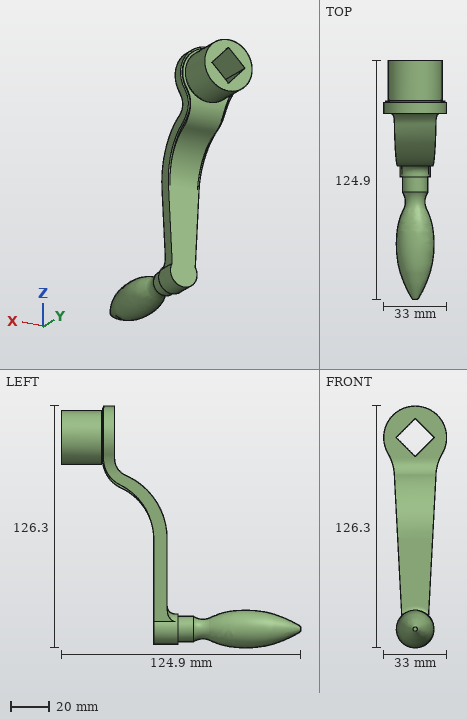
import cadquery as cq
import math


hub_radius = 16.49
rim_thickness = 5.8
core_thickness = 6.5
core_inset = 1.0
boss_radius = 14.1
boss_back = 27.8
boss_front = 6.8
boss_neck_radius = 13.4
square_half_diagonal = 9.9

waist_half_width = 10.9
flank_radius = 24.3
arm_end_half_width = 6.7
arm_thickness = 7.1
arm_front = -27.4
bend_start = -11.0
hub_bend_radius = 9.5
arm_bend_radius = 36.3
rim_back_bend_radius = 31.5
core_back_bend_radius = 29.2

grip_max_radius = 9.92
grip_z = hub_radius + grip_max_radius - 126.3
end_radius = 8.0
end_front = -33.1
end_fillet = 4.0
collar_radius = 6.7
collar_front = -41.0
throat_radius = 5.2
throat_y = -45.9
throat_front = -49.4
throat_front_radius = 5.8
belly = [(-57.1, 8.7), (-68.2, grip_max_radius), (-78.0, 9.1), (-88.5, 5.8), (-96.3, 1.9)]
tip_y = -97.1
tip_flat_radius = 1.1


def cylinder(radius, back, front, z=0.0):
    """Cylinder along Y between two Y positions."""
    plane = cq.Workplane("XZ", origin=(0, back, z))
    return plane.circle(radius).extrude(back - front)


def arm_outline(inset):
    """Hub and tapering arm seen along Y, shrunk inward by inset, as a long prism."""
    hub = hub_radius - inset
    waist = waist_half_width - inset
    end = arm_end_half_width - inset
    flank = flank_radius + inset
    reach = hub + flank
    flank_x = waist + flank
    flank_z = -math.sqrt(reach**2 - flank_x**2)
    touch_x = flank_x * hub / reach
    touch_z = flank_z * hub / reach
    middle_angle = math.atan2(-flank_z, flank_x) / 2
    middle_x = flank_x - flank * math.cos(middle_angle)
    middle_z = flank_z + flank * math.sin(middle_angle)
    return (
        cq.Workplane("XZ", origin=(0, boss_back, 0))
        .moveTo(-touch_x, touch_z)
        .threePointArc((0, hub), (touch_x, touch_z))
        .threePointArc((middle_x, middle_z), (waist, flank_z))
        .lineTo(end, grip_z)
        .lineTo(-end, grip_z)
        .lineTo(-waist, flank_z)
        .threePointArc((-middle_x, middle_z), (-touch_x, touch_z))
        .close()
        .extrude(boss_back - tip_y)
    )


arm_back = arm_front + arm_thickness
bend_sum = hub_bend_radius + arm_bend_radius
bend_angle = math.acos(1 + arm_front / bend_sum)
bend_end = bend_start - bend_sum * math.sin(bend_angle)


def s_bend(top_y, bottom_y, lower_radius):
    """Middle of upper arc, junction and middle of lower arc of an S-bend that is vertical at both ends."""
    drop = bend_start - bend_end
    angle = 2 * math.atan2(top_y - bottom_y, drop)
    upper_radius = drop / math.sin(angle) - lower_radius

    def upper(turn):
        y = top_y - upper_radius * (1 - math.cos(turn))
        return (y, bend_start - upper_radius * math.sin(turn))

    def lower(turn):
        y = bottom_y + lower_radius * (1 - math.cos(turn))
        return (y, bend_end + lower_radius * math.sin(turn))

    return upper(angle / 2), upper(angle), lower(angle / 2)


def arm_profile(hub_thickness, back_bend_radius):
    """Cranked strip seen along X, with a given hub thickness and radius behind the arm bend."""
    front_upper, front_joint, front_lower = s_bend(0, arm_front, arm_bend_radius)
    back_upper, back_joint, back_lower = s_bend(hub_thickness, arm_back, back_bend_radius)
    return (
        cq.Workplane("YZ")
        .moveTo(0, hub_radius)
        .lineTo(0, bend_start)
        .threePointArc(front_upper, front_joint)
        .threePointArc(front_lower, (arm_front, bend_end))
        .lineTo(arm_front, grip_z)
        .lineTo(arm_back, grip_z)
        .lineTo(arm_back, bend_end)
        .threePointArc(back_lower, back_joint)
        .threePointArc(back_upper, (hub_thickness, bend_start))
        .lineTo(hub_thickness, hub_radius)
        .close()
        .extrude(hub_radius, both=True)
    )


def make_arm():
    """Full-width strip plus a narrower core standing proud of its back."""
    strip_profile = arm_profile(rim_thickness, rim_back_bend_radius)
    core_profile = arm_profile(core_thickness, core_back_bend_radius)
    strip = strip_profile.intersect(arm_outline(0))
    core = core_profile.cut(strip_profile).intersect(arm_outline(core_inset))
    return strip.union(core)


def make_boss():
    """Boss joined to the hub by a short, slightly narrower neck."""
    boss = cylinder(boss_radius, boss_back, boss_front)
    return boss.union(cylinder(boss_neck_radius, boss_front, 0))


def make_arm_end():
    """Round end of the arm, with a fillet blending it into the arm's front face."""
    fillet_front = arm_front - end_fillet
    fillet_radius = end_radius + end_fillet
    sweep = end_fillet * (1 - math.sqrt(0.5))
    flare = (
        cq.Workplane("XY")
        .moveTo(0, arm_back)
        .lineTo(fillet_radius, arm_back)
        .lineTo(fillet_radius, arm_front)
        .threePointArc((end_radius + sweep, arm_front - sweep), (end_radius, fillet_front))
        .lineTo(0, fillet_front)
        .close()
        .revolve(360, (0, 0, 0), (0, 1, 0))
        .translate((0, 0, grip_z))
    )
    flare = flare.intersect(arm_outline(0))
    return cylinder(end_radius, arm_back, end_front, grip_z).union(flare)


def make_grip():
    """Turned grip: collar, waisted throat and swelling body with a blunt tip."""
    return (
        cq.Workplane("XY")
        .moveTo(0, arm_back)
        .lineTo(collar_radius, arm_back)
        .lineTo(collar_radius, collar_front)
        .threePointArc((throat_radius, throat_y), (throat_front_radius, throat_front))
        .spline([(radius, y) for y, radius in belly], includeCurrent=True)
        .lineTo(tip_flat_radius, tip_y)
        .lineTo(0, tip_y)
        .close()
        .revolve(360, (0, 0, 0), (0, 1, 0))
        .translate((0, 0, grip_z))
    )


def make_square_hole():
    """Square drive hole standing on its corner, through hub and boss."""
    corner = square_half_diagonal
    plane = cq.Workplane("XZ", origin=(0, boss_back, 0))
    return plane.polyline([(corner, 0), (0, corner), (-corner, 0), (0, -corner)]).close().extrude(boss_back)


result = make_arm().union(make_boss()).union(make_arm_end()).union(make_grip()).cut(make_square_hole())